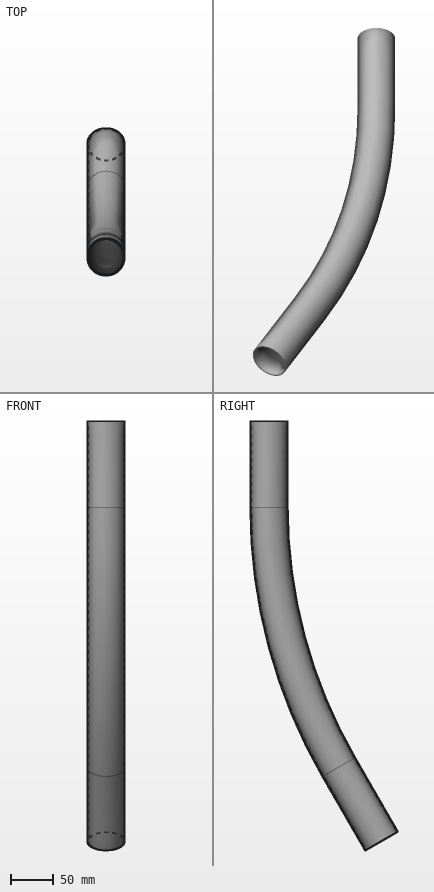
import cadquery as cq
import math

overall_height = 505.5
outer_diameter = 44.5
inner_diameter = 41.5
straight_length = 101.0
bend_angle = 30.0

angle = math.radians(bend_angle)
outer_radius = outer_diameter / 2
legs_height = straight_length * (1 + math.cos(angle)) + outer_radius * math.sin(angle)
bend_radius = (overall_height - legs_height) / math.sin(angle)


def arc_point(turned):
    """Centreline point (Y, Z) after turning from vertical towards +Y."""
    return (bend_radius * (1 - math.cos(turned)), -bend_radius * math.sin(turned))


bend_end = arc_point(angle)
lower_end = (
    bend_end[0] + straight_length * math.sin(angle),
    bend_end[1] - straight_length * math.cos(angle),
)
centreline = (
    cq.Workplane("YZ")
    .moveTo(0, straight_length)
    .lineTo(0, 0)
    .threePointArc(arc_point(angle / 2), bend_end)
    .lineTo(*lower_end)
)

result = (
    cq.Workplane("XY", origin=(0, 0, straight_length))
    .circle(outer_radius)
    .circle(inner_diameter / 2)
    .sweep(centreline)
)